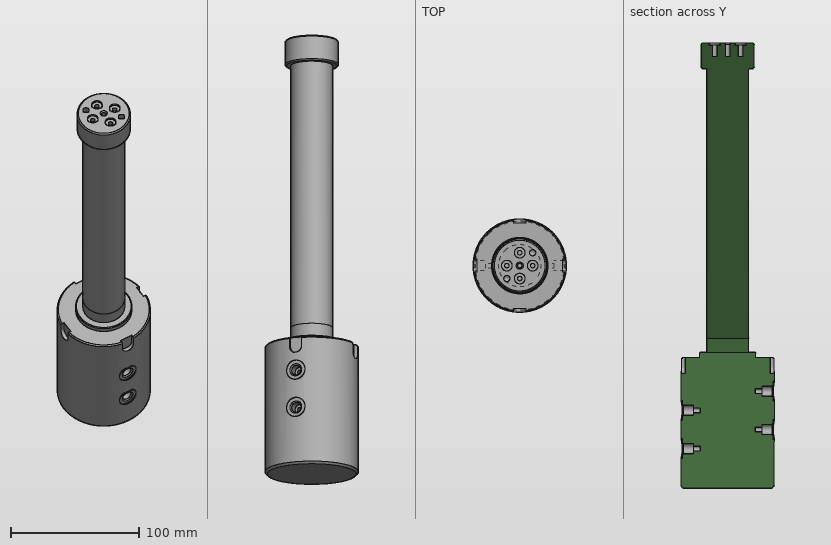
import cadquery as cq
import math

base_diameter = 73.0
base_height = 102.0
base_top_chamfer = 1.0
base_bottom_chamfer = 1.7
flange_diameter = 44.0
flange_height = 4.0
flange_chamfer = 0.7

notch_count = 4
notch_width = 10.0
notch_length = 12.5
notch_depth = 3.0

hole_pitch = 30.0
left_upper_hole_z = 75.5
right_upper_hole_z = left_upper_hole_z - hole_pitch / 2
spotface_diameter = 15.3
spotface_depth = 1.0
screw_hole_diameter = 7.5
screw_hole_mouth_diameter = 9.7
screw_hole_depth = 8.7
pilot_hole_diameter = 3.5
pilot_hole_depth = 14.0

bar_diameter = 33.0
collar_height = 10.8

total_height = 347.0
head_diameter = 41.5
head_height = 20.0
head_top_chamfer = 1.0
head_bottom_chamfer = 1.0

hole_offset = 10.0
counterbore_diameter = 8.5
counterbore_depth = 1.7
bolt_hole_diameter = 3.5
bolt_hole_depth = 10.5
pin_hole_diameter = 5.0
pin_hole_depth = 5.2
drill_point_angle = 118.0
center_hole_diameter = 3.5
center_hole_mouth_diameter = 5.5
center_hole_depth = 10.5

collar_bottom = base_height + flange_height
bar_bottom = collar_bottom + collar_height
head_bottom = total_height - head_height
base_radius = base_diameter / 2


def cylinder(diameter, height, bottom=0.0):
    """Upright cylinder on the Z axis."""
    return cq.Workplane("XY").workplane(offset=bottom).circle(diameter / 2).extrude(height)


def cone_tool(top_diameter, bottom_diameter, height):
    """Cone hanging down from the origin, for countersinks and drill points."""
    return cq.Workplane("XY").add(
        cq.Solid.makeCone(
            top_diameter / 2,
            bottom_diameter / 2,
            height,
            pnt=cq.Vector(0, 0, 0),
            dir=cq.Vector(0, 0, -1),
        )
    )


def countersunk_tool(mouth_diameter, diameter, depth):
    """Blind hole hanging down from the origin, with a 45 degree countersink."""
    sink = cone_tool(mouth_diameter, diameter, (mouth_diameter - diameter) / 2)
    return cylinder(diameter, depth, -depth).union(sink)


def notch_tool():
    """Round-bottomed notch through the rim on the +X side."""
    half_width = notch_width / 2
    notch_bottom = base_height - notch_length
    return (
        cq.Workplane("YZ")
        .workplane(offset=base_radius - notch_depth)
        .moveTo(-half_width, base_height)
        .lineTo(-half_width, notch_bottom + half_width)
        .threePointArc((0, notch_bottom), (half_width, notch_bottom + half_width))
        .lineTo(half_width, base_height)
        .close()
        .extrude(notch_depth)
    )


def screw_hole_tool():
    """Spotface, countersunk screw hole and pilot, cut along -Z from the origin."""
    spotface = cylinder(spotface_diameter, 2 * spotface_depth, -spotface_depth)
    hole = countersunk_tool(screw_hole_mouth_diameter, screw_hole_diameter, screw_hole_depth)
    pilot = cylinder(pilot_hole_diameter, pilot_hole_depth, -pilot_hole_depth)
    return spotface.union(hole.union(pilot).translate((0, 0, -spotface_depth)))


def make_base():
    """Drum and flange with rim notches and screw holes on the -X and +X sides."""
    drum = cylinder(base_diameter, base_height)
    drum = drum.faces(">Z").chamfer(base_top_chamfer).faces("<Z").chamfer(base_bottom_chamfer)
    flange = cylinder(flange_diameter, flange_height, base_height)
    flange = flange.faces(">Z").chamfer(flange_chamfer)
    base = drum.union(flange)
    for i in range(notch_count):
        angle = i * 360 / notch_count
        base = base.cut(notch_tool().rotate((0, 0, 0), (0, 0, 1), angle))
    for side, upper_z in ((-1, left_upper_hole_z), (1, right_upper_hole_z)):
        for z in (upper_z, upper_z - hole_pitch):
            tool = screw_hole_tool().rotate((0, 0, 0), (0, 1, 0), side * 90)
            base = base.cut(tool.translate((side * base_radius, 0, z)))
    return base


def make_collar():
    """Plain short disc between the flange and the bar."""
    return cylinder(bar_diameter, collar_height, collar_bottom)


def bolt_hole_tool():
    """Counterbored blind bolt hole hanging down from the origin."""
    counterbore = cylinder(counterbore_diameter, counterbore_depth, -counterbore_depth)
    return counterbore.union(cylinder(bolt_hole_diameter, bolt_hole_depth, -bolt_hole_depth))


def pin_hole_tool():
    """Blind pin hole with a drill point, hanging down from the origin."""
    point_height = pin_hole_diameter / 2 / math.tan(math.radians(drill_point_angle / 2))
    drill_point = cone_tool(pin_hole_diameter, 0, point_height).translate((0, 0, -pin_hole_depth))
    return cylinder(pin_hole_diameter, pin_hole_depth, -pin_hole_depth).union(drill_point)


def make_bar():
    """Long shaft with the drilled head at its top."""
    shaft = cylinder(bar_diameter, head_bottom - bar_bottom, bar_bottom)
    head = cylinder(head_diameter, head_height, head_bottom)
    head = head.faces(">Z").chamfer(head_top_chamfer).faces("<Z").chamfer(head_bottom_chamfer)
    bar = shaft.union(head)
    for x, y in ((1, 0), (0, 1), (-1, 0), (0, -1)):
        bar = bar.cut(bolt_hole_tool().translate((x * hole_offset, y * hole_offset, total_height)))
    for side in (-1, 1):
        bar = bar.cut(pin_hole_tool().translate((side * hole_offset, side * hole_offset, total_height)))
    center_hole = countersunk_tool(center_hole_mouth_diameter, center_hole_diameter, center_hole_depth)
    return bar.cut(center_hole.translate((0, 0, total_height)))


base = make_base()
collar = make_collar()
bar = make_bar()
result = cq.Compound.makeCompound([base.val(), collar.val(), bar.val()])